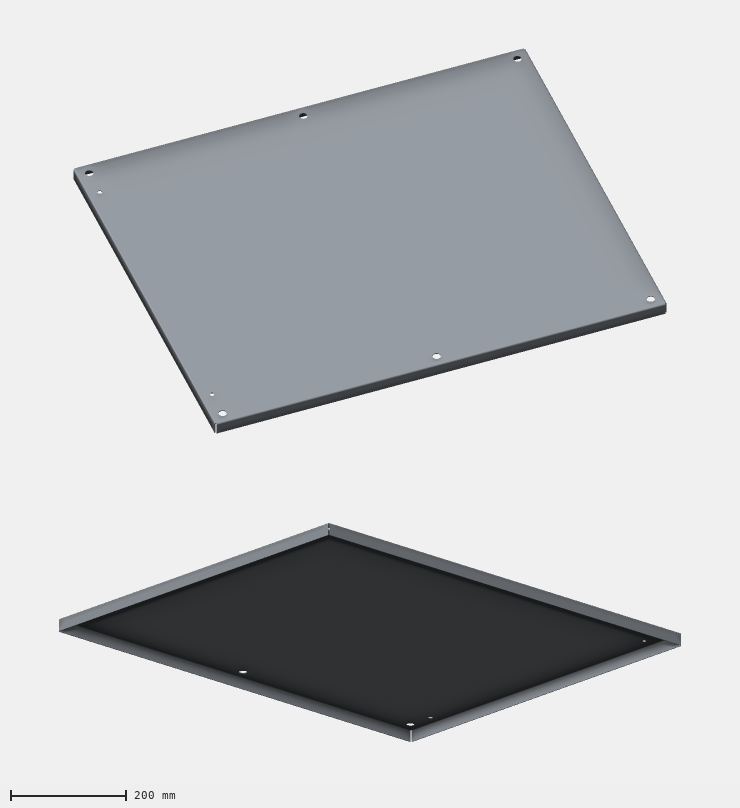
import cadquery as cq

width = 686.0
length = 838.0
height = 23.0
sheet_thickness = 1.5
outer_bend_radius = 2.85
inner_bend_radius = outer_bend_radius - sheet_thickness
corner_relief = outer_bend_radius

mounting_hole_diameter = 14.0
mounting_pitch_x = 642.0
mounting_pitch_y = 794.0
small_hole_diameter = 8.0
small_hole_pitch = 541.0


def rounded_block(block_width, block_length, block_height, bend_radius):
    """Block standing on z = 0, with its top edges rounded like a sheet bend."""
    block = cq.Workplane("XY").box(block_width, block_length, block_height, centered=(True, True, False))
    return block.faces(">Z").edges().fillet(bend_radius)


def folded_tray():
    """Panel face with a flange bent down along each side."""
    outside = rounded_block(width, length, height, outer_bend_radius)
    inside = rounded_block(
        width - 2 * sheet_thickness,
        length - 2 * sheet_thickness,
        height - sheet_thickness,
        inner_bend_radius,
    )
    return outside.cut(inside)


def corner_reliefs():
    """Square notches that separate neighbouring flanges at the corners."""
    return (
        cq.Workplane("XY")
        .rect(width - corner_relief, length - corner_relief, forConstruction=True)
        .vertices()
        .rect(corner_relief, corner_relief)
        .extrude(height)
    )


def through_holes(points, diameter):
    return cq.Workplane("XY").pushPoints(points).circle(diameter / 2).extrude(height)


row_positions = [-mounting_pitch_y / 2, 0, mounting_pitch_y / 2]
mounting_points = [(side * mounting_pitch_x / 2, y) for side in (-1, 1) for y in row_positions]
small_points = [(side * small_hole_pitch / 2, row_positions[0]) for side in (-1, 1)]

result = (
    folded_tray()
    .cut(corner_reliefs())
    .cut(through_holes(mounting_points, mounting_hole_diameter))
    .cut(through_holes(small_points, small_hole_diameter))
)